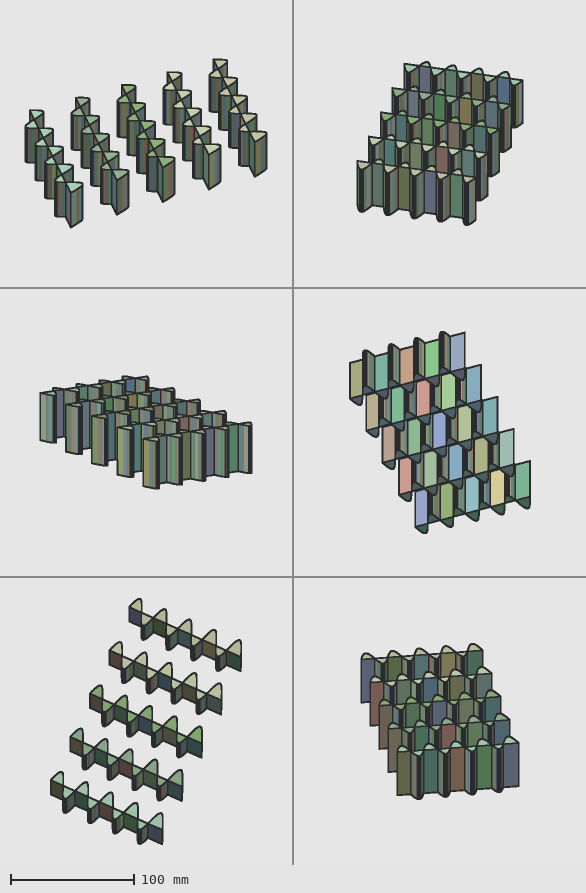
import cadquery as cq
import math


TOTAL_WIDTH = 179.8
FIN_COUNT = 5
FACETS = 100
FACETS_PER_WAVELENGTH = 22
NECK = 0.04

LENGTH_RATIO = 10
PITCH_RATIO = 4
HEIGHT_RATIO = 4

CREST_RATIO = math.cos(math.pi / FACETS_PER_WAVELENGTH)

amplitude = TOTAL_WIDTH / ((FIN_COUNT - 1) * PITCH_RATIO + 2 * CREST_RATIO)
fin_length = LENGTH_RATIO * amplitude
fin_pitch = PITCH_RATIO * amplitude
fin_height = HEIGHT_RATIO * amplitude
facet_length = fin_length / FACETS


def wave_point(index):
    """Corner of the faceted sine wave."""
    angle = 2 * math.pi * index / FACETS_PER_WAVELENGTH
    return index * facet_length, amplitude * math.sin(angle)


wave = [wave_point(index) for index in range(FACETS + 1)]
chord_slope = wave[-1][1] / wave[-1][0]


def height_over_chord(point):
    return point[1] - chord_slope * point[0]


def chord_crossing(start, end):
    """X where the facet from start to end meets the chord."""
    start_height = height_over_chord(start)
    fraction = start_height / (start_height - height_over_chord(end))
    return start[0] + fraction * (end[0] - start[0])


def lobe_edge(side):
    """Inner points of the outline on one side of the chord: +1 above, -1 below.

    It follows the wave round the lobes on that side and the chord between them,
    and passes each crossing half a neck away from the chord.
    """
    points = []
    for start, end in zip(wave[1:-2], wave[2:-1]):
        if side * height_over_chord(start) > 0:
            points.append(start)
        if height_over_chord(start) * height_over_chord(end) < 0:
            x = chord_crossing(start, end)
            points.append((x, chord_slope * x + side * NECK / 2))
    if side * height_over_chord(wave[-2]) > 0:
        points.append(wave[-2])
    return points


def make_fin(row):
    """One fin, shifted along Y to its row."""
    upper_edge = lobe_edge(1)
    lower_edge = lobe_edge(-1)
    outline = [wave[0], *lower_edge, wave[-1], *reversed(upper_edge)]
    fin = cq.Workplane("XY").polyline(outline).close().extrude(fin_height)
    return fin.translate((0, row * fin_pitch, 0))


fins = [make_fin(row) for row in range(FIN_COUNT)]

result = cq.Compound.makeCompound([fin.val() for fin in fins])